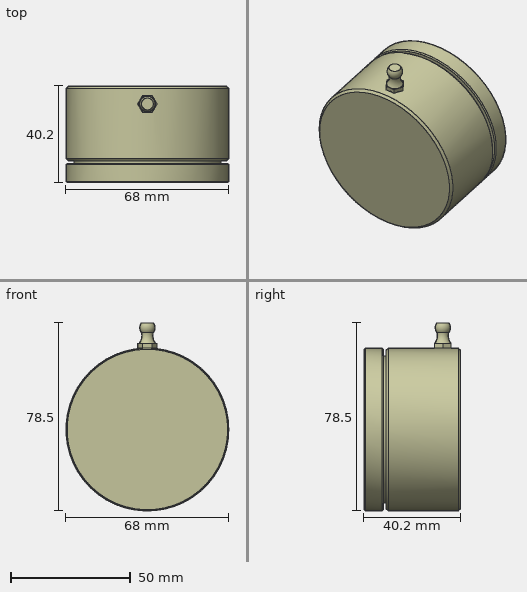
import cadquery as cq
import math

outer_diameter = 68.0
outer_radius = outer_diameter / 2

cap_length = 8.0
cap_chamfer = 0.5
spacer_diameter = 61.5
spacer_length = 1.0
housing_length = 31.25
housing_chamfer = 1.0

spacer_front = cap_length
housing_front = spacer_front + spacer_length
housing_back = housing_front + housing_length

nipple_y = housing_back - 7.45
hex_across_flats = 7.0
hex_across_corners = hex_across_flats / math.cos(math.pi / 6)
hex_height = 2.0
shank_diameter = 6.0
shank_length = 6.0
nipple_height = 10.5
ball_radius = 3.2
ball_flat_diameter = 4.95
neck_base_diameter = 6.8
neck_waist_diameter = 4.7
neck_waist_height = 4.7

ball_flat_radius = ball_flat_diameter / 2
ball_half_height = math.sqrt(ball_radius**2 - ball_flat_radius**2)
ball_center_height = nipple_height - ball_half_height
neck_top_height = ball_center_height - ball_half_height


def disc(diameter, length, front_y):
    """Solid disc on the Y axis, extending back from front_y."""
    plane = cq.Workplane("XZ", origin=(0, front_y, 0))
    return plane.circle(diameter / 2).extrude(-length)


def make_shank():
    """Plain shank of the nipple, reaching down into the housing."""
    seat = cq.Workplane("XY", origin=(0, nipple_y, outer_radius))
    return seat.circle(shank_diameter / 2).extrude(-shank_length)


def make_housing():
    """Chamfered housing with a blind hole that fits the nipple shank."""
    body = disc(outer_diameter, housing_length, housing_front)
    return body.edges().chamfer(housing_chamfer).cut(make_shank())


def make_spacer():
    """Smaller disc that forms the floor of the groove behind the cap."""
    return disc(spacer_diameter, spacer_length, spacer_front)


def make_cap():
    """Front cap with both rims chamfered."""
    return disc(outer_diameter, cap_length, 0).edges().chamfer(cap_chamfer)


def make_nipple():
    """Hexagon, waisted neck and flat-topped ball, with a shank below."""
    seat = cq.Workplane("XY", origin=(0, nipple_y, outer_radius))
    hexagon = seat.polygon(6, hex_across_corners).extrude(hex_height)
    head = (
        cq.Workplane("XZ", origin=(0, nipple_y, outer_radius))
        .moveTo(0, hex_height)
        .lineTo(neck_base_diameter / 2, hex_height)
        .threePointArc(
            (neck_waist_diameter / 2, neck_waist_height),
            (ball_flat_radius, neck_top_height),
        )
        .threePointArc(
            (ball_radius, ball_center_height),
            (ball_flat_radius, nipple_height),
        )
        .lineTo(0, nipple_height)
        .close()
        .revolve(360, (0, 0, 0), (0, 1, 0))
    )
    return make_shank().union(hexagon).union(head)


housing = make_housing()
spacer = make_spacer()
cap = make_cap()
nipple = make_nipple()

bodies = [housing, spacer, cap, nipple]
result = cq.Compound.makeCompound([body.solids().val() for body in bodies])